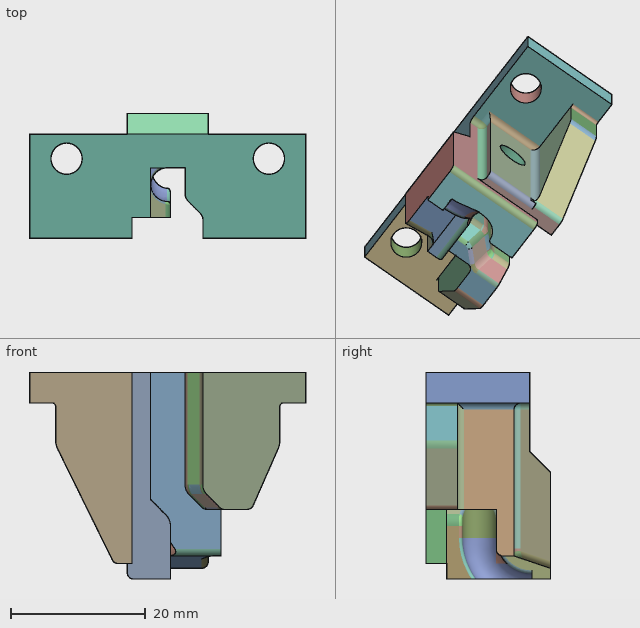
import cadquery as cq
import math

LENGTH = 41.0
TOTAL_DEPTH = 18.55
TOTAL_HEIGHT = 30.65
MID_X = LENGTH / 2

FLANGE_DEPTH = 15.45
FLANGE_THICK = 4.55
HOLE_DIAMETER = 4.6
HOLE_SPACING = 30.0
HOLE_Y = 11.8

EDGE_RADIUS = 1.0
LEG_ROOT_RADIUS = EDGE_RADIUS / 2
LEG_SHOULDER_RADIUS = 3.0
CHANNEL_RADIUS = 1.48
GUIDE_TOP_RADIUS = 2.45
KICK_END_RADIUS = EDGE_RADIUS

LEG_DEPTH = 4.7
LEG_INSET = 3.85
SHOULDER_Z = -10.75
LEFT_TIP_X = 12.55
LEFT_TIP_Z = -28.37
RIGHT_TIP_X = 32.92
RIGHT_TIP_Z = -20.35

CORE_WIDTH = 15.83
CORE_BACK = 13.08
PAD_WIDTH = 12.05
PLATE_BOTTOM = -27.22
PAD_TOP_Z = -14.8
PAD_BOTTOM = -29.05
CORE_LEFT = MID_X - CORE_WIDTH / 2
CORE_RIGHT = MID_X + CORE_WIDTH / 2
PAD_LEFT = MID_X - PAD_WIDTH / 2
PAD_RIGHT = MID_X + PAD_WIDTH / 2

CHANNEL_LEFT = 15.2
CHANNEL_RIGHT = 25.7
RECESS_Y = 3.08
SLOT_WIDTH = 5.12
SLOT_BACK = 10.45
SLOT_LEFT = MID_X - SLOT_WIDTH / 2
SLOT_RIGHT = MID_X + SLOT_WIDTH / 2
BEVEL_START_Y = 3.32
BEVEL_ANGLE = math.radians(45)
KICK_Z = -17.5
KICK_BEND_RADIUS = 2 * EDGE_RADIUS

GUIDE_RIGHT = 20.9
GUIDE_TOP_Z = -18.8
PASSAGE_DIAMETER = 5.0
PASSAGE_TOP_Z = -18.45
PASSAGE_BEND_Z = -24.6
PASSAGE_BEND_RADIUS = 7.8
PASSAGE_SWEEP = 90.0
PASSAGE_RIM_RADIUS = 0.5

LEFT_LEG = (LEG_INSET, LEFT_TIP_X, LEFT_TIP_Z, CHANNEL_LEFT)
RIGHT_LEG = (LENGTH - LEG_INSET, RIGHT_TIP_X, RIGHT_TIP_Z, SLOT_RIGHT)

POCKET_DIAMETER = 4.6
POCKET_DEPTH = 2.45
POCKET_Y = 9.0
POCKET_Z = -13.57

CLEARANCE = 4.1
MARGIN = 0.05


def block(x_range, y_range, z_range):
    """Box spanning the given (low, high) ranges."""
    spans = [high - low for low, high in (x_range, y_range, z_range)]
    corner = (x_range[0], y_range[0], z_range[0])
    return cq.Workplane("XY").box(*spans, centered=False).translate(corner)


def prism_y(points, front, back):
    """Outline in X and Z, extruded between two Y positions."""
    return cq.Workplane("XZ", origin=(0, front, 0)).polyline(points).close().extrude(front - back)


def edges_near(body, direction, point):
    """Edges parallel to an axis whose line passes close to the point in the other two axes."""
    low = [value - MARGIN for value in point]
    high = [value + MARGIN for value in point]
    axis = "XYZ".index(direction)
    low[axis] = -2 * LENGTH
    high[axis] = 2 * LENGTH
    return body.edges("|" + direction).edges(cq.selectors.BoxSelector(low, high))


def leg_prism(side, front, back):
    """Length of tapered leg with a rounded shoulder and tip."""
    outer_x, tip_x, tip_z, inner_x = side
    outline = [(outer_x, -FLANGE_THICK), (outer_x, SHOULDER_Z), (tip_x, tip_z),
               (inner_x, tip_z), (inner_x, -FLANGE_THICK)]
    body = prism_y(outline, front, back)
    body = edges_near(body, "Y", (outer_x, 0, SHOULDER_Z)).fillet(LEG_SHOULDER_RADIUS)
    return edges_near(body, "Y", (tip_x, 0, tip_z)).fillet(EDGE_RADIUS)


def leg_cove(side, core_x, core_z):
    """Concave fillet between the back of a leg and the side of the core, kept inside the leg outline."""
    outer_x = side[0]
    centre_x = core_x + math.copysign(EDGE_RADIUS, outer_x - core_x)
    back = LEG_DEPTH + EDGE_RADIUS
    corner = block(sorted((centre_x, core_x)), (LEG_DEPTH, back), (core_z, -FLANGE_THICK))
    rounding = (cq.Workplane("XY", origin=(centre_x, back, core_z))
                .circle(EDGE_RADIUS).extrude(-FLANGE_THICK - core_z))
    return corner.cut(rounding).intersect(leg_prism(side, LEG_DEPTH, back))


def flange():
    """Flat mounting flange with two through holes."""
    body = block((0, LENGTH), (0, FLANGE_DEPTH), (-FLANGE_THICK, 0))
    holes = [(MID_X + side * HOLE_SPACING / 2, HOLE_Y) for side in (-1, 1)]
    return body.cut(cq.Workplane("XY").pushPoints(holes).circle(HOLE_DIAMETER / 2).extrude(-FLANGE_THICK))


def core():
    """Block behind the legs; its right half ends higher as a thin plate with a rounded lower edge."""
    left = block((CORE_LEFT, MID_X), (RECESS_Y, CORE_BACK), (LEFT_TIP_Z, -FLANGE_THICK))
    left = edges_near(left, "Y", (CORE_LEFT, 0, LEFT_TIP_Z)).fillet(EDGE_RADIUS)
    right = block((SLOT_LEFT, CORE_RIGHT), (RECESS_Y, CORE_BACK), (RIGHT_TIP_Z, -FLANGE_THICK))
    plate = block((SLOT_LEFT, CORE_RIGHT), (SLOT_BACK, CORE_BACK), (PLATE_BOTTOM, RIGHT_TIP_Z))
    plate = edges_near(plate, "X", (0, SLOT_BACK, PLATE_BOTTOM)).fillet(EDGE_RADIUS)
    return left.union(right).union(plate)


def pad():
    """Raised pad on the back with a 45 degree top and a sloping underside."""
    step = TOTAL_DEPTH - FLANGE_DEPTH
    outline = [(CORE_BACK, -FLANGE_THICK), (FLANGE_DEPTH, -FLANGE_THICK),
               (FLANGE_DEPTH, PAD_TOP_Z + step), (TOTAL_DEPTH, PAD_TOP_Z),
               (TOTAL_DEPTH, PAD_BOTTOM), (CORE_BACK, PLATE_BOTTOM)]
    body = cq.Workplane("YZ", origin=(PAD_LEFT, 0, 0)).polyline(outline).close().extrude(PAD_WIDTH)
    low_corner = cq.selectors.BoxSelector((PAD_RIGHT - MARGIN, CORE_BACK, PAD_BOTTOM),
                                          (PAD_RIGHT + MARGIN, TOTAL_DEPTH - MARGIN, PLATE_BOTTOM))
    return body.edges(low_corner).fillet(EDGE_RADIUS)


def channel_section(z, spread):
    """Plan outline of the channel with its right wall moved outwards by the given amount."""
    slot_x = SLOT_RIGHT + spread
    front_x = CHANNEL_RIGHT + spread
    front_y = BEVEL_START_Y + spread * math.tan(BEVEL_ANGLE / 2)
    slot_y = front_y + CHANNEL_RIGHT - SLOT_RIGHT
    straight = CHANNEL_RADIUS * math.tan(BEVEL_ANGLE / 2)
    diagonal = straight * math.cos(BEVEL_ANGLE)
    bulge = CHANNEL_RADIUS * (1 - math.cos(BEVEL_ANGLE / 2))
    rise = CHANNEL_RADIUS * math.sin(BEVEL_ANGLE / 2)
    return (cq.Workplane("XY", origin=(0, 0, z))
            .moveTo(CHANNEL_LEFT, -CLEARANCE).lineTo(CHANNEL_LEFT, RECESS_Y)
            .lineTo(SLOT_LEFT, RECESS_Y).lineTo(SLOT_LEFT, SLOT_BACK).lineTo(slot_x, SLOT_BACK)
            .lineTo(slot_x, slot_y + straight)
            .threePointArc((slot_x + bulge, slot_y + straight - rise),
                           (slot_x + diagonal, slot_y - diagonal))
            .lineTo(front_x - diagonal, front_y + diagonal)
            .threePointArc((front_x - bulge, front_y - straight + rise), (front_x, front_y - straight))
            .lineTo(front_x, -CLEARANCE).close())


def channel():
    """Straight channel over the full height, widened to the right by a kick with a rounded bend."""
    straight = channel_section(-TOTAL_HEIGHT, 0).extrude(TOTAL_HEIGHT)
    kick_top = channel_section(KICK_Z, 0).val()
    kick_end = channel_section(RIGHT_TIP_Z, KICK_Z - RIGHT_TIP_Z).val()
    joined = straight.union(cq.Workplane(cq.Solid.makeLoft([kick_top, kick_end], True)))
    bend = cq.selectors.BoxSelector((SLOT_RIGHT - MARGIN, -2 * CLEARANCE, KICK_Z - MARGIN),
                                    (CHANNEL_RIGHT + MARGIN, SLOT_BACK + MARGIN, KICK_Z + MARGIN))
    return joined.edges(bend).fillet(KICK_BEND_RADIUS)


def round_kick_end(body):
    """Round the lower edge of the right channel wall where the kick ends."""
    front_x = CHANNEL_RIGHT + KICK_Z - RIGHT_TIP_Z
    along_slot = cq.selectors.BoxSelector((SLOT_RIGHT, 0, RIGHT_TIP_Z - MARGIN),
                                          (CORE_RIGHT - MARGIN, SLOT_BACK, RIGHT_TIP_Z + MARGIN))
    at_front = cq.selectors.BoxSelector((front_x - MARGIN, MARGIN, RIGHT_TIP_Z - MARGIN),
                                        (front_x + MARGIN, LEG_DEPTH - MARGIN, RIGHT_TIP_Z + MARGIN))
    lower_edge = body.edges("not |X").edges(along_slot + at_front)
    return lower_edge.fillet(KICK_END_RADIUS)


def guide_block():
    """Block at the foot of the slot: 45 degree top running into a rounded right side."""
    shoulder_z = GUIDE_TOP_Z - (GUIDE_RIGHT - SLOT_LEFT)
    outline = [(PAD_LEFT, -TOTAL_HEIGHT), (GUIDE_RIGHT, -TOTAL_HEIGHT), (GUIDE_RIGHT, shoulder_z),
               (SLOT_LEFT, GUIDE_TOP_Z), (PAD_LEFT, GUIDE_TOP_Z)]
    body = prism_y(outline, RECESS_Y, TOTAL_DEPTH)
    body = edges_near(body, "Y", (GUIDE_RIGHT, 0, shoulder_z)).fillet(GUIDE_TOP_RADIUS)
    body = edges_near(body, "Y", (PAD_LEFT, 0, -TOTAL_HEIGHT)).fillet(EDGE_RADIUS).cut(passage())
    rim = cq.selectors.BoxSelector((SLOT_LEFT, RECESS_Y + MARGIN, PASSAGE_BEND_Z + MARGIN),
                                   (GUIDE_RIGHT, SLOT_BACK + MARGIN, GUIDE_TOP_Z - MARGIN))
    return body.edges(rim).edges("%ELLIPSE").fillet(PASSAGE_RIM_RADIUS)


def passage():
    """Vertical bore that touches the back of the slot, then bends towards the back."""
    y = SLOT_BACK - PASSAGE_DIAMETER / 2
    drop = PASSAGE_TOP_Z - PASSAGE_BEND_Z
    straight = (cq.Workplane("XY", origin=(MID_X, y, PASSAGE_BEND_Z))
                .circle(PASSAGE_DIAMETER / 2).extrude(drop))
    bend = (cq.Workplane("XY", origin=(MID_X, y, PASSAGE_BEND_Z)).circle(PASSAGE_DIAMETER / 2)
            .revolve(PASSAGE_SWEEP, (0, PASSAGE_BEND_RADIUS, 0), (1, PASSAGE_BEND_RADIUS, 0)))
    return straight.union(bend)


def side_pocket():
    """Round blind recess entering the left side of the core."""
    return (cq.Workplane("YZ", origin=(CORE_LEFT, POCKET_Y, POCKET_Z))
            .circle(POCKET_DIAMETER / 2).extrude(POCKET_DEPTH))


def head():
    """Flange, core and pad, with the concave corners between them rounded."""
    foot = block((PAD_LEFT, MID_X), (CORE_BACK, TOTAL_DEPTH), (LEFT_TIP_Z, PLATE_BOTTOM))
    body = flange().union(core()).union(pad()).union(foot)
    under_flange = cq.selectors.BoxSelector((CORE_LEFT - MARGIN, LEG_DEPTH, -FLANGE_THICK - MARGIN),
                                            (CORE_RIGHT + MARGIN, FLANGE_DEPTH, -FLANGE_THICK + MARGIN))
    behind_core = cq.selectors.BoxSelector((0, CORE_BACK - MARGIN, -FLANGE_THICK - MARGIN),
                                           (LENGTH, CORE_BACK + MARGIN, -FLANGE_THICK + MARGIN))
    corners = body.edges("|Y").edges(under_flange)
    corners = corners.add(body.edges("|X").edges(behind_core))
    for pad_side in (PAD_LEFT, PAD_RIGHT):
        corners = corners.add(edges_near(body, "Z", (pad_side, CORE_BACK, 0)))
    return corners.fillet(EDGE_RADIUS)


body = head()
for side, core_x in ((LEFT_LEG, CORE_LEFT), (RIGHT_LEG, CORE_RIGHT)):
    outer_x, _, tip_z, _ = side
    body = body.union(leg_prism(side, 0, LEG_DEPTH)).union(leg_cove(side, core_x, tip_z))
    body = edges_near(body, "Y", (outer_x, 0, -FLANGE_THICK)).fillet(LEG_ROOT_RADIUS)

body = round_kick_end(body.cut(channel())).union(guide_block())
result = body.cut(passage()).cut(side_pocket())